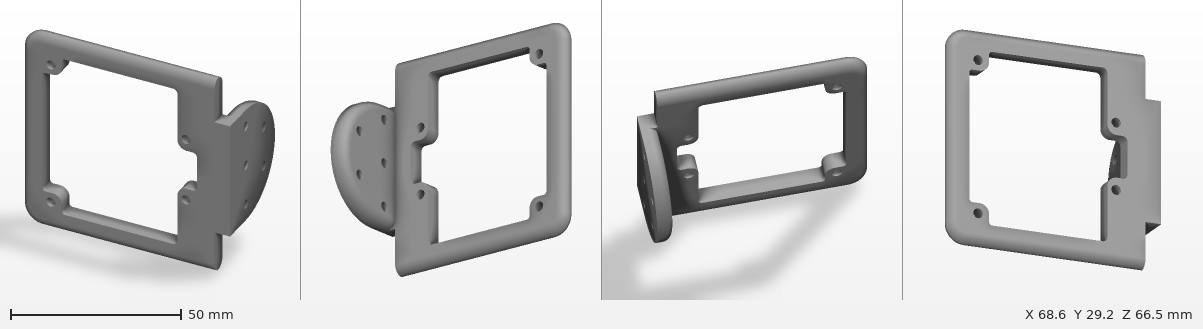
import cadquery as cq
import math

length = 68.6
depth = 29.2
height = 66.5
thickness = 5.1

plate_end = length - thickness
corner_radius = 6.25
rim_radius = 3.0

window_left = 6.7
window_right = 51.2
window_half_height = 26.9
lug_right = 13.1
lug_half_height = 20.5
notch_right = 57.7
notch_half_height = 6.6
lug_radius = 3.0
left_inner_radius = 1.0
right_inner_radius = 1.5
edge_match_distance = 0.7

hole_diameter = 3.0
left_hole_x = 9.5
left_hole_z = 23.7
right_hole_x = 54.05
right_hole_z = 10.4
bolt_circle_radius = 13.5
bolt_angles = (-90, -30, 30, 90)

bracket_radius = 19.05
bracket_center_y = depth - bracket_radius

tangent_line_y = thickness - rim_radius
front_overhang = rim_radius - math.sqrt(rim_radius**2 - (rim_radius - tangent_line_y) ** 2)


def rounded_slab(rim_face, overhang):
    """Plate blank with its outer rim rounded on one face only; the +X end stays square."""
    runout = 2 * corner_radius
    blank = (
        cq.Workplane("XY")
        .box(
            plate_end + overhang + runout,
            thickness,
            height + 2 * overhang,
            centered=(False, False, True),
        )
        .translate((-overhang, 0, 0))
        .edges("|Y")
        .fillet(corner_radius + overhang)
        .faces(rim_face)
        .edges()
        .fillet(rim_radius)
    )
    beyond_end = cq.Workplane("XY").box(
        2 * runout, thickness, 2 * height, centered=(False, False, True)
    ).translate((plate_end, 0, 0))
    return blank.cut(beyond_end)


def window():
    """Stepped window leaving a lug at each left corner and a shoulder beside the right notch."""
    upper = [
        (window_left, lug_half_height),
        (lug_right, lug_half_height),
        (lug_right, window_half_height),
        (window_right, window_half_height),
        (window_right, notch_half_height),
        (notch_right, notch_half_height),
    ]
    lower = [(x, -z) for x, z in reversed(upper)]
    cutter = cq.Workplane("XZ").polyline(upper + lower).close().extrude(-thickness)
    corners_by_radius = {
        lug_radius: [upper[1], upper[4]],
        left_inner_radius: [upper[0], upper[2]],
        right_inner_radius: [upper[3], upper[5]],
    }
    for radius, corners in corners_by_radius.items():
        points = [cq.Vector(x, thickness / 2, side * z) for x, z in corners for side in (-1, 1)]
        corner_edges = [
            edge
            for edge in cutter.edges("|Y").vals()
            if any((edge.Center() - point).Length < edge_match_distance for point in points)
        ]
        cutter = cutter.newObject(corner_edges).fillet(radius)
    return cutter


def plate_holes():
    centers = [
        (x, side * z)
        for x, z in ((left_hole_x, left_hole_z), (right_hole_x, right_hole_z))
        for side in (-1, 1)
    ]
    return cq.Workplane("XZ").pushPoints(centers).circle(hole_diameter / 2).extrude(-thickness)


def bracket():
    """Upright tab: square foot level with the plate, rounded rim on its inner face behind it."""
    tab = (
        cq.Workplane("YZ", origin=(plate_end, 0, 0))
        .moveTo(thickness, -bracket_radius)
        .lineTo(bracket_center_y, -bracket_radius)
        .threePointArc((depth, 0), (bracket_center_y, bracket_radius))
        .lineTo(thickness, bracket_radius)
        .close()
        .extrude(thickness)
        .faces("<X")
        .edges("not <Y")
        .fillet(rim_radius)
    )
    foot = cq.Workplane("XY").box(
        thickness, thickness, 2 * bracket_radius, centered=(False, False, True)
    ).translate((plate_end, 0, 0))
    return tab.union(foot)


def bracket_holes():
    """One central hole and four holes spread around the free half of the bolt circle."""
    centers = [(bracket_center_y, 0)]
    for angle in bolt_angles:
        a = math.radians(angle)
        y = bracket_center_y + bolt_circle_radius * math.cos(a)
        centers.append((y, bolt_circle_radius * math.sin(a)))
    return (
        cq.Workplane("YZ", origin=(plate_end, 0, 0))
        .pushPoints(centers)
        .circle(hole_diameter / 2)
        .extrude(thickness)
    )


plate = rounded_slab("<Y", front_overhang).intersect(rounded_slab(">Y", 0))
plate = plate.cut(window()).cut(plate_holes())
result = plate.union(bracket().cut(bracket_holes()))